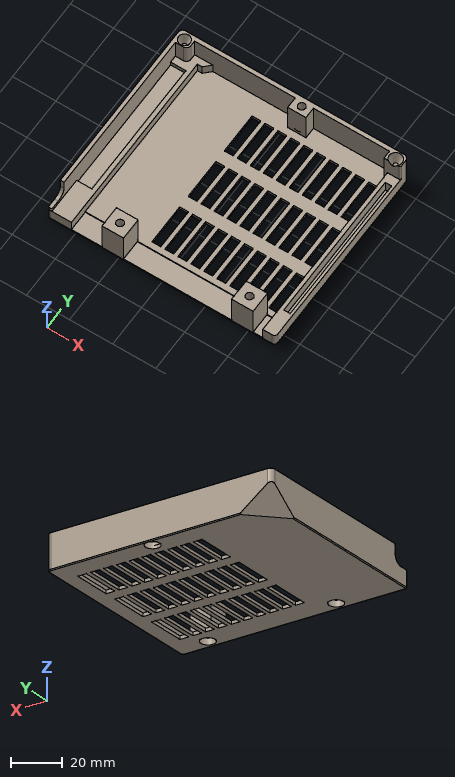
import cadquery as cq

length = 105.5
depth = 92.0
height = 16.0

floor_top = 1.6
sill_top = 1.2
sill_depth = 9.5
left_wall = 1.8
back_wall = 2.0
rear_corner_radius = 2.1
wall_end_radius = 0.8
front_right_radius = 1.6
base_chamfer = 0.4

left_ledge_edge = 10.9
left_ledge_top = 6.2
left_ledge_back = 87.0
left_ledge_step = 2.2
left_pocket_edge = 8.9
left_pocket_front = 17.1
left_pocket_floor = 4.2
pocket_back = 82.1

right_ledge_edge = 99.5
right_ledge_top = 7.0
right_slot_left = 101.3
right_slot_right = 104.2
right_slot_front = 11.9

left_boss_edge = 7.6
left_boss_front = 85.3
left_boss_radius = 2.1
right_boss_edge = 97.9
right_boss_front = 86.2
right_boss_radius = 0.7
seat_back_inset = 3.7
seat_tip_diameter = 2.0
seat_depth = 4.2
left_seat_inset = 4.0
left_seat_diameter = 5.4
right_seat_inset = 3.6
right_seat_diameter = 6.0

post_size = 10.0
front_post_lefts = (25.0, 85.0)
rear_post_left = 54.2
rear_post_width = 8.4
rear_post_front = 84.8
rear_screw_y = 88.2
screw_diameter = 3.4
head_diameter = 6.5
head_depth = 2.8

vent_columns = 10
vent_rows = 3
vent_left = 39.9
vent_front = 12.5
vent_width = 4.0
vent_length = 19.1
vent_pitch_x = 6.0
vent_pitch_y = 25.0

notch_length = 8.4
notch_bottom = 7.8
notch_radius = 4.0

corner_cut_run = 15.4
corner_cut_rise = 11.2


def block(x0, x1, y0, y1, z0, z1):
    """Box given by its limits along each axis."""
    return cq.Workplane("XY").box(x1 - x0, y1 - y0, z1 - z0, centered=False).translate((x0, y0, z0))


def outer_envelope():
    """Full-height body whose corner rounding and base chamfer trim everything inside it."""
    body = block(0, length, 0, depth, 0, height)
    body = body.edges("|Z and >Y").fillet(rear_corner_radius)
    body = body.edges("|Z and >X and <Y").fillet(front_right_radius)
    body = body.edges("|Z and <X and <Y").fillet(wall_end_radius)
    return body.faces("<Z").edges().chamfer(base_chamfer)


def left_side_wall():
    """Side wall whose inner front edge is rounded like its outer one."""
    wall = block(0, left_wall, 0, depth, 0, height)
    return wall.edges("|Z and >X and <Y").fillet(wall_end_radius)


def left_ledge():
    """Ledge beside the left wall, widened by a beveled step at the back wall."""
    inner_back = depth - back_wall
    bevel = inner_back - left_ledge_back
    step_edge = left_ledge_edge + left_ledge_step
    outline = [
        (0, 0),
        (left_ledge_edge, 0),
        (left_ledge_edge, left_ledge_back),
        (step_edge, left_ledge_back),
        (step_edge + bevel, inner_back),
        (0, inner_back),
    ]
    ledge = cq.Workplane("XY").polyline(outline).close().extrude(left_ledge_top)
    return ledge.cut(
        block(left_wall, left_pocket_edge, left_pocket_front, pocket_back, left_pocket_floor, left_ledge_top)
    )


def right_ledge():
    """Ledge along the right side with a long slot down to the floor."""
    ledge = block(right_ledge_edge, length, 0, depth, 0, right_ledge_top)
    return ledge.cut(
        block(right_slot_left, right_slot_right, right_slot_front, pocket_back, floor_top, right_ledge_top)
    )


def corner_bosses():
    left = block(0, left_boss_edge, left_boss_front, depth, 0, height)
    left = left.edges("|Z and >X and <Y").fillet(left_boss_radius)
    right = block(right_boss_edge, length, right_boss_front, depth, 0, height)
    right = right.edges("|Z and >X and <Y").fillet(right_boss_radius)
    return left.union(right)


def screw_posts():
    posts = block(rear_post_left, rear_post_left + rear_post_width, rear_post_front, depth, 0, height)
    for left in front_post_lefts:
        posts = posts.union(block(left, left + post_size, 0, post_size, 0, height))
    return posts


def post_screw_holes():
    """Through holes with head recesses sunk into the underside."""
    centers = [(left + post_size / 2, post_size / 2) for left in front_post_lefts]
    centers.append((rear_post_left + rear_post_width / 2, rear_screw_y))
    plane = cq.Workplane("XY").pushPoints(centers)
    shanks = plane.circle(screw_diameter / 2).extrude(height)
    heads = plane.circle(head_diameter / 2).extrude(head_depth)
    return shanks.union(heads)


def corner_seat(x, top_diameter):
    """Blind cone that narrows downward from the top of a corner boss."""
    top_center = cq.Vector(x, depth - seat_back_inset, height)
    down = cq.Vector(0, 0, -1)
    cone = cq.Solid.makeCone(top_diameter / 2, seat_tip_diameter / 2, seat_depth, top_center, down)
    return cq.Workplane(cone)


def vents():
    first_x = vent_left + vent_width / 2
    first_y = vent_front + vent_length / 2
    centers = [
        (first_x + column * vent_pitch_x, first_y + row * vent_pitch_y)
        for column in range(vent_columns)
        for row in range(vent_rows)
    ]
    return cq.Workplane("XY").pushPoints(centers).rect(vent_width, vent_length).extrude(floor_top)


def wall_notch():
    notch = block(0, left_wall, 0, notch_length, notch_bottom, height)
    return notch.edges("|X and >Y and <Z").fillet(notch_radius)


def corner_cut():
    """Tetrahedron with equal runs along the left and rear base edges."""
    corners = [
        cq.Vector(0, depth, 0),
        cq.Vector(corner_cut_run, depth, 0),
        cq.Vector(0, depth - corner_cut_run, 0),
        cq.Vector(0, depth, corner_cut_rise),
    ]
    faces = []
    for skipped in corners:
        triangle = [corner for corner in corners if corner is not skipped]
        faces.append(cq.Face.makeFromWires(cq.Wire.makePolygon(triangle, close=True)))
    return cq.Workplane(cq.Solid.makeSolid(cq.Shell.makeShell(faces)))


tray = block(0, length, 0, depth, 0, sill_top)
tray = tray.union(block(0, length, sill_depth, depth, 0, floor_top))
tray = tray.union(left_side_wall())
tray = tray.union(block(0, length, depth - back_wall, depth, 0, height))
tray = tray.cut(vents())
tray = tray.union(left_ledge()).union(right_ledge())
tray = tray.union(corner_bosses()).union(screw_posts())
tray = tray.cut(post_screw_holes())
tray = tray.cut(corner_seat(left_seat_inset, left_seat_diameter))
tray = tray.cut(corner_seat(length - right_seat_inset, right_seat_diameter))
tray = tray.cut(wall_notch()).cut(corner_cut())

result = tray.intersect(outer_envelope())